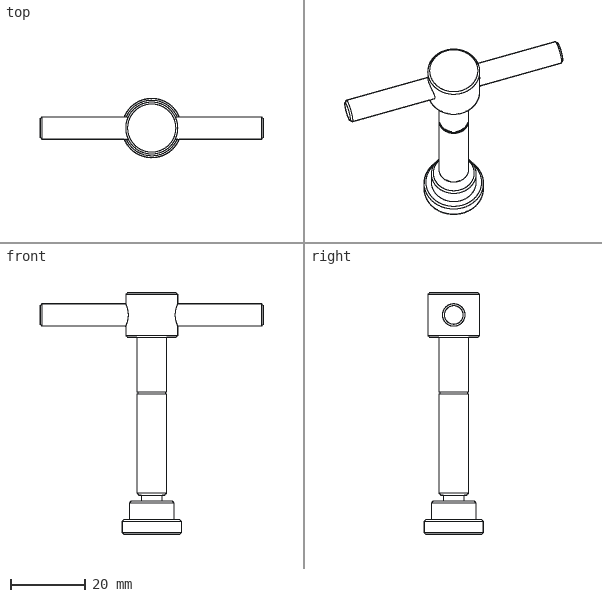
import cadquery as cq

total_height = 65.0
bar_length = 60.0

pad_diameter = 16.0
collar_diameter = 12.0
neck_diameter = 5.6
shaft_diameter = 8.0
head_diameter = 14.0
bar_diameter = 6.05

pad_top = 4.0
collar_top = 9.05
shaft_bottom = 10.5
groove_height = 38.0
head_height = 12.0
head_bottom = total_height - head_height
bar_height = total_height - head_height / 2

edge_chamfer = 0.5
shaft_chamfer = 0.6
groove_width = 0.5
groove_depth = 0.25


def cylinder(diameter, bottom, top):
    """Upright cylinder on the Z axis between two heights."""
    return cq.Workplane("XY").workplane(offset=bottom).circle(diameter / 2).extrude(top - bottom)


def swivel_pad():
    """Stepped foot with a wide pad and a narrower collar."""
    pad = cylinder(pad_diameter, 0, pad_top).edges().chamfer(edge_chamfer)
    collar = cylinder(collar_diameter, 0, collar_top).faces(">Z").edges().chamfer(edge_chamfer)
    return pad.union(collar)


def shaft():
    """Screw shaft with a chamfered end and a shallow square groove."""
    body = cylinder(shaft_diameter, shaft_bottom, head_bottom).faces("<Z").edges().chamfer(shaft_chamfer)
    groove_bottom = groove_height - groove_width / 2
    groove_top = groove_height + groove_width / 2
    groove = cylinder(shaft_diameter, groove_bottom, groove_top).cut(
        cylinder(shaft_diameter - 2 * groove_depth, groove_bottom, groove_top)
    )
    return body.cut(groove)


def tommy_bar():
    """Cross bar along X, chamfered at both ends."""
    return (
        cq.Workplane("YZ", origin=(0, 0, bar_height))
        .circle(bar_diameter / 2)
        .extrude(bar_length / 2, both=True)
        .faces("<X or >X")
        .edges()
        .chamfer(edge_chamfer)
    )


neck = cylinder(neck_diameter, collar_top, shaft_bottom)
head = cylinder(head_diameter, head_bottom, total_height).edges("%CIRCLE").chamfer(edge_chamfer)

result = swivel_pad().union(neck).union(shaft()).union(head).union(tommy_bar())